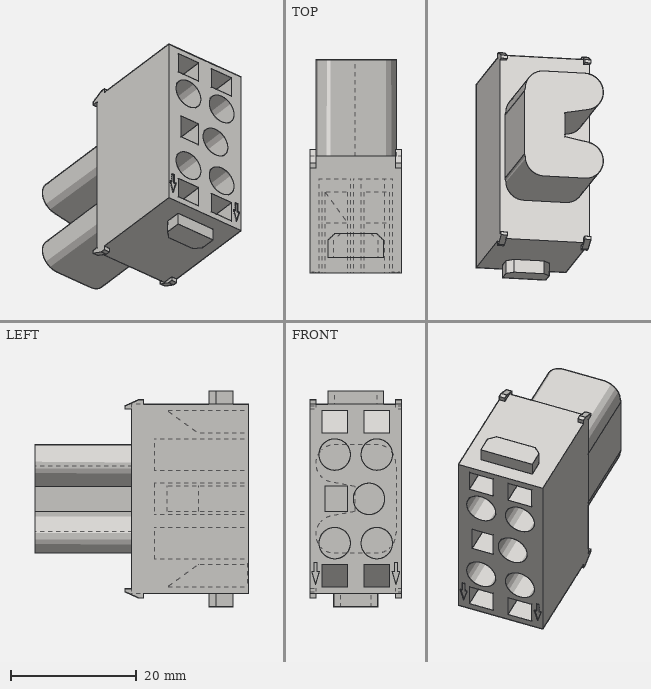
import cadquery as cq
import math

body_width = 14.6
body_depth = 18.65
body_height = 30.2

overall_height = 34.4
key_height = (overall_height - body_height) / 2
key_front_y = 2.45
key_back_y = 6.3
key_chamfer = 1.1
top_key_width = 8.9
bottom_key_width = 7.05

hook_width = 1.0
hook_rise = 0.7
hook_front_y = 16.7
hook_ramp_y = 17.5
hook_tip_y = 19.7
hook_tip_drop = 0.3
hook_root_drop = 0.8

overall_depth = 34.0
bar_radius = 3.0
bar_round_x = 3.35
bar_round_z = 5.65
web_left_x = -0.1
web_left_half_height = 1.98
web_right_x = 6.5
web_right_half_height = 5.2

hole_diameter = 5.0
hole_depth = 15.0
hole_column_x = 3.35
hole_row_z = 7.05
middle_hole_x = 2.1

pocket_long = 4.1
pocket_short = 3.6
pocket_column_x = 3.33
pocket_row_z = 12.25
middle_pocket_x = -3.1
pocket_shallow_depth = 8.0
pocket_floor_tilt = math.radians(54)

arrow_x = 6.4
arrow_tip_z = -13.6
arrow_head_length = 2.0
arrow_length = 3.5
arrow_head_width = 1.2
arrow_shaft_width = 0.45
arrow_depth = 0.2


def make_body():
    return cq.Workplane("XY").box(body_width, body_depth, body_height, centered=(True, False, True))


def make_key(width, side):
    """Raised key on the top (side = 1) or bottom (side = -1), chamfered at its rear corners."""
    key = (
        cq.Workplane("XY")
        .box(width, key_back_y - key_front_y, key_height, centered=(True, False, False))
        .edges("|Z and >Y")
        .chamfer(key_chamfer)
    )
    base_z = body_height / 2 if side > 0 else -overall_height / 2
    return key.translate((0, key_front_y, base_z))


def make_hooks():
    """Four ramped hooks, each flush with a side face of the body."""
    top_z = body_height / 2
    hook = (
        cq.Workplane("YZ")
        .moveTo(hook_front_y, top_z - hook_root_drop)
        .lineTo(hook_front_y, top_z + hook_rise)
        .lineTo(hook_ramp_y, top_z + hook_rise)
        .lineTo(hook_tip_y, top_z - hook_tip_drop)
        .lineTo(hook_tip_y, top_z - hook_root_drop)
        .close()
        .extrude(hook_width)
        .translate((body_width / 2 - hook_width, 0, 0))
    )
    top_pair = hook.union(hook.mirror("YZ"))
    return top_pair.union(top_pair.mirror("XY"))


def make_plug():
    """Rear plug: tapered notch on the left between the bars, slightly proud web on the right."""
    outer_x = bar_round_x + bar_radius
    outer_z = bar_round_z + bar_radius
    run = web_left_x + bar_round_x
    rise = bar_round_z - web_left_half_height
    taper = math.atan2(rise, run) - math.asin(bar_radius / math.hypot(run, rise))
    tangent_x = -bar_round_x - bar_radius * math.sin(taper)
    tangent_z = bar_round_z - bar_radius * math.cos(taper)
    corner_x = bar_round_x + bar_radius * math.sqrt(0.5)
    corner_z = bar_round_z + bar_radius * math.sqrt(0.5)
    return (
        cq.Workplane("XZ")
        .moveTo(-bar_round_x, outer_z)
        .lineTo(bar_round_x, outer_z)
        .threePointArc((corner_x, corner_z), (outer_x, bar_round_z))
        .lineTo(web_right_x, web_right_half_height)
        .lineTo(web_right_x, -web_right_half_height)
        .lineTo(outer_x, -bar_round_z)
        .threePointArc((corner_x, -corner_z), (bar_round_x, -outer_z))
        .lineTo(-bar_round_x, -outer_z)
        .threePointArc((-outer_x, -bar_round_z), (tangent_x, -tangent_z))
        .lineTo(web_left_x, -web_left_half_height)
        .lineTo(web_left_x, web_left_half_height)
        .lineTo(tangent_x, tangent_z)
        .threePointArc((-outer_x, bar_round_z), (-bar_round_x, outer_z))
        .close()
        .extrude(-(overall_depth - body_depth))
        .translate((0, body_depth, 0))
    )


def make_holes():
    centres = [(x, z) for x in (-hole_column_x, hole_column_x) for z in (-hole_row_z, hole_row_z)]
    centres.append((middle_hole_x, 0))
    return cq.Workplane("XZ").pushPoints(centres).circle(hole_diameter / 2).extrude(-hole_depth)


def make_pocket():
    """Pocket centred on the Y axis whose floor gets deeper toward +Z."""
    half_height = pocket_short / 2
    deep_depth = pocket_shallow_depth + pocket_short * math.tan(pocket_floor_tilt)
    return (
        cq.Workplane("YZ")
        .moveTo(0, -half_height)
        .lineTo(pocket_shallow_depth, -half_height)
        .lineTo(deep_depth, half_height)
        .lineTo(0, half_height)
        .close()
        .extrude(pocket_long / 2, both=True)
    )


def make_pockets():
    """Two pockets along the top, two along the bottom and one at mid height, each deepest outward."""
    pocket = make_pocket()
    pockets = pocket.rotate((0, 0, 0), (0, 1, 0), -90).translate((middle_pocket_x, 0, 0))
    for x in (-pocket_column_x, pocket_column_x):
        upper = pocket.translate((x, 0, pocket_row_z))
        pockets = pockets.union(upper).union(upper.mirror("XY"))
    return pockets


def make_arrows():
    """Two shallow arrows pointing down, one near each side of the front face."""
    head_z = arrow_tip_z + arrow_head_length
    tail_z = arrow_tip_z + arrow_length
    half_head = arrow_head_width / 2
    half_shaft = arrow_shaft_width / 2
    arrow = (
        cq.Workplane("XZ")
        .moveTo(0, arrow_tip_z)
        .lineTo(half_head, head_z)
        .lineTo(half_shaft, head_z)
        .lineTo(half_shaft, tail_z)
        .lineTo(-half_shaft, tail_z)
        .lineTo(-half_shaft, head_z)
        .lineTo(-half_head, head_z)
        .close()
        .extrude(-arrow_depth)
    )
    return arrow.translate((-arrow_x, 0, 0)).union(arrow.translate((arrow_x, 0, 0)))


housing = make_body().union(make_key(top_key_width, 1)).union(make_key(bottom_key_width, -1))
housing = housing.union(make_hooks()).union(make_plug())
result = housing.cut(make_holes()).cut(make_pockets()).cut(make_arrows())